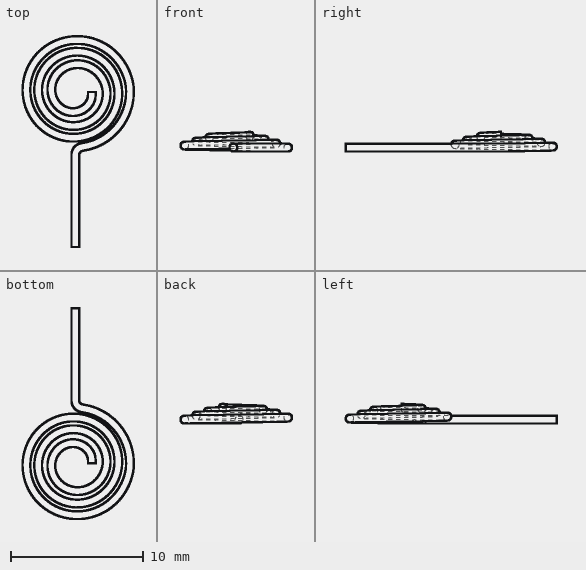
import cadquery as cq
import math

wire_diameter = 0.6
wire_radius = wire_diameter / 2
coil_rise = 0.9
turn_count = 3
inner_radius = 1.25
first_turn_radius = 2.37
outer_radius = 4.14
points_per_turn = 16

run_out_radius = 4.22
bend_radius = 0.59
lead_end_y = -11.76

first_turn_growth = first_turn_radius - inner_radius
outer_turn_growth = (outer_radius - first_turn_radius) / (turn_count - 1)

run_out_center_x = outer_radius - run_out_radius
bend_center_x = bend_radius
center_distance = run_out_radius + bend_radius
center_offset_x = bend_center_x - run_out_center_x
lead_start_y = -math.sqrt(center_distance**2 - center_offset_x**2)
bend_start_angle = math.atan2(lead_start_y, center_offset_x)


def coil_point(turn):
    """Wire centre after the given number of clockwise turns from the inner end."""
    first_turn = min(turn, 1)
    further_turns = max(turn - 1, 0)
    radius = inner_radius + first_turn_growth * first_turn + outer_turn_growth * further_turns
    angle = -2 * math.pi * turn
    height = coil_rise * (1 - turn / turn_count)
    return cq.Vector(radius * math.cos(angle), radius * math.sin(angle), height)


def polar_point(center_x, center_y, radius, angle):
    return (center_x + radius * math.cos(angle), center_y + radius * math.sin(angle))


def wire_section(x, z):
    """Wire cross-section facing along Y where the coil crosses the XZ plane."""
    return cq.Workplane("XZ", origin=(x, 0, z)).circle(wire_radius)


def make_coil():
    point_count = turn_count * points_per_turn + 1
    turns = [i / points_per_turn for i in range(point_count)]
    points = [coil_point(turn) for turn in turns]
    end_tangents = [cq.Vector(0, -2 * math.pi * radius, 0) for radius in (inner_radius, outer_radius)]
    path = cq.Workplane("XY").spline(points, tangents=end_tangents, parameters=turns, scale=False)
    start = points[0]
    return wire_section(start.x, start.z).sweep(path, isFrenet=True)


def make_lead():
    run_out_middle = polar_point(run_out_center_x, 0, run_out_radius, bend_start_angle / 2)
    bend_start = polar_point(run_out_center_x, 0, run_out_radius, bend_start_angle)
    bend_middle_angle = (bend_start_angle + math.pi + math.pi) / 2
    bend_middle = polar_point(bend_center_x, lead_start_y, bend_radius, bend_middle_angle)
    path = (
        cq.Workplane("XY")
        .moveTo(outer_radius, 0)
        .threePointArc(run_out_middle, bend_start)
        .threePointArc(bend_middle, (0, lead_start_y))
        .lineTo(0, lead_end_y)
        .wire()
    )
    return wire_section(outer_radius, 0).sweep(path)


result = make_coil().union(make_lead())